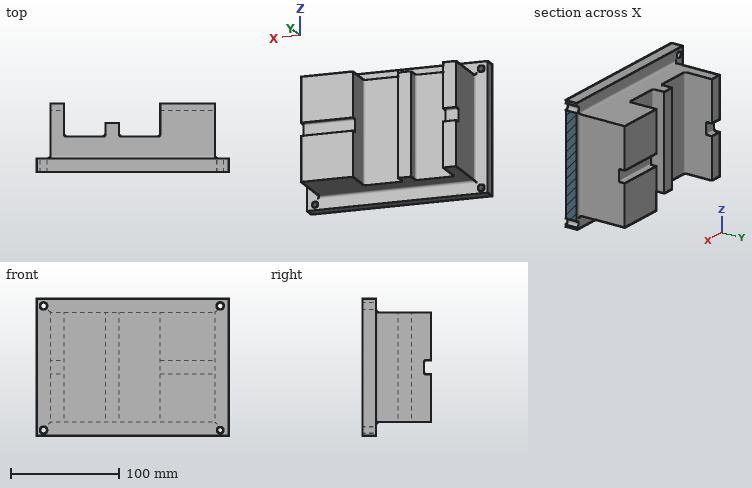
import cadquery as cq

plate_length = 177.8
module = plate_length / 14

plate_height = 10 * module
plate_thickness = module

block_length = 12 * module
block_height = 8 * module
block_depth = 4 * module
base_fillet = 2.3

left_wall = module
recess_length = 7 * module
recess_depth = 2.4 * module
rib_offset = 3 * module
rib_width = module
rib_height = 12.5
recess_fillet = 2.3

notch_width = module
notch_depth = module / 2
notch_fillet = 1.5

mounting_holes = [
    (-82.5, 56.7, 6.4),
    (80.9, 56.7, 6.4),
    (-82.5, -58.1, 6.4),
    (80.9, -58.1, 5.7),
]

front_y = -(plate_thickness + block_depth) / 2
seat_y = front_y + plate_thickness
back_y = seat_y + block_depth


def box_at(x_start, y_start, length, depth, height):
    """Box from a left-front edge, centred on Z = 0."""
    return (
        cq.Workplane("XY")
        .box(length, depth, height, centered=(False, False, True))
        .translate((x_start, y_start, 0))
    )


def make_body():
    """Plate and block, with a fillet around the foot of the block."""
    plate = box_at(-plate_length / 2, front_y, plate_length, plate_thickness, plate_height)
    block = box_at(-block_length / 2, seat_y, block_length, block_depth, block_height)
    foot_edges = cq.selectors.BoxSelector(
        (-block_length / 2 - base_fillet, seat_y - base_fillet, -block_height / 2 - base_fillet),
        (block_length / 2 + base_fillet, seat_y + base_fillet, block_height / 2 + base_fillet),
    )
    return plate.union(block).edges(foot_edges).fillet(base_fillet)


def make_recess():
    """Two rounded bays joined above the rib."""
    recess_x = -block_length / 2 + left_wall
    rib_x = recess_x + rib_offset
    floor_y = back_y - recess_depth
    rib_top_y = floor_y + rib_height
    right_bay_x = rib_x + rib_width
    right_bay_length = recess_length - rib_offset - rib_width

    left_bay = box_at(recess_x, floor_y, rib_offset, recess_depth, block_height)
    right_bay = box_at(right_bay_x, floor_y, right_bay_length, recess_depth, block_height)
    over_rib = box_at(rib_x, rib_top_y, rib_width, back_y - rib_top_y, block_height)
    cutter = left_bay.edges("|Z and <Y").fillet(recess_fillet)
    cutter = cutter.union(right_bay.edges("|Z and <Y").fillet(recess_fillet))
    return cutter.union(over_rib)


def make_notch():
    """Groove along the full block length with rounded bottom corners."""
    notch = box_at(-block_length / 2, back_y - notch_depth, block_length, notch_depth, notch_width)
    return notch.edges("|X and <Y").fillet(notch_fillet)


def make_hole(x, z, diameter):
    """Cylinder through the plate and any fillet in its path."""
    return (
        cq.Workplane("XZ", origin=(x, front_y, z))
        .circle(diameter / 2)
        .extrude(-(plate_thickness + base_fillet))
    )


result = make_body().cut(make_recess()).cut(make_notch())
for hole_x, hole_z, hole_diameter in mounting_holes:
    result = result.cut(make_hole(hole_x, hole_z, hole_diameter))